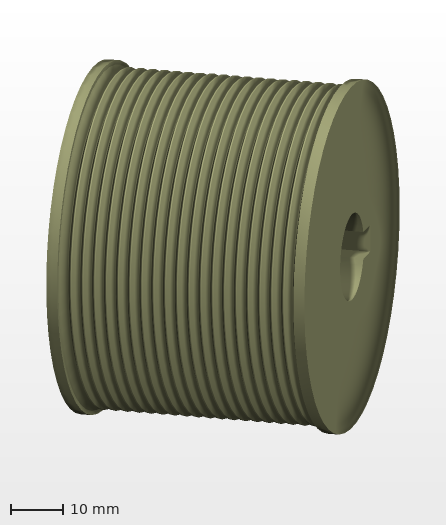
import cadquery as cq
import math

outer_diameter = 68.0
width = 51.15
outer_radius = outer_diameter / 2
left_face = -width / 2
right_face = width / 2

groove_count = 20
flange_width = 2.2
groove_angle = 40.0
crest_diameter = 65.7
crest_rounding = 0.17
root_rounding = 0.15

pocket_diameter = 54.0
pocket_depth = 6.0
pocket_floor = left_face + pocket_depth

bore_wide_diameter = 20.0
bore_narrow_diameter = 17.0

keyway_width = 5.3
keyway_reach = 13.05

flank_angle = math.radians(groove_angle / 2)
crest_half_width = crest_rounding * math.cos(flank_angle)
crest_drop = crest_rounding * (1 - math.sin(flank_angle))
root_half_width = root_rounding * math.cos(flank_angle)
root_rise = root_rounding * (1 - math.sin(flank_angle))

left_wall = left_face + flange_width
right_wall = right_face - flange_width
groove_pitch = (right_wall - left_wall) / groove_count

crest_radius = crest_diameter / 2
flank_top = crest_radius - crest_drop
flank_run = groove_pitch / 2 - crest_half_width - root_half_width
flank_bottom = flank_top - flank_run / math.tan(flank_angle)
root_radius = flank_bottom - root_rise

wall_foot_radius = flank_top + crest_half_width / math.tan(flank_angle)


def grooved_body():
    """Revolve the half section: two end flanges with the V grooves between them."""
    section = (
        cq.Workplane("XY")
        .moveTo(left_face, 0)
        .lineTo(left_face, outer_radius)
        .lineTo(left_wall, outer_radius)
        .lineTo(left_wall, wall_foot_radius)
    )
    for index in range(groove_count):
        root = left_wall + (index + 0.5) * groove_pitch
        crest = root + groove_pitch / 2
        section = (
            section.lineTo(root - root_half_width, flank_bottom)
            .threePointArc((root, root_radius), (root + root_half_width, flank_bottom))
        )
        if index < groove_count - 1:
            section = section.lineTo(crest - crest_half_width, flank_top).threePointArc(
                (crest, crest_radius), (crest + crest_half_width, flank_top)
            )
    section = (
        section.lineTo(right_wall, wall_foot_radius)
        .lineTo(right_wall, outer_radius)
        .lineTo(right_face, outer_radius)
        .lineTo(right_face, 0)
    )
    return section.close().revolve(360, (0, 0, 0), (1, 0, 0))


def pocket():
    return cq.Workplane("YZ", origin=(left_face, 0, 0)).circle(pocket_diameter / 2).extrude(pocket_depth)


def tapered_bore():
    profile = [
        (pocket_floor, 0),
        (pocket_floor, bore_wide_diameter / 2),
        (right_face, bore_narrow_diameter / 2),
        (right_face, 0),
    ]
    return cq.Workplane("XY").polyline(profile).close().revolve(360, (0, 0, 0), (1, 0, 0))


def keyway():
    """A straight slot of constant depth, open from the axis and running the full width."""
    return cq.Workplane("XY").box(width, keyway_reach, keyway_width, centered=(True, False, True))


result = grooved_body().cut(pocket()).cut(tapered_bore()).cut(keyway())